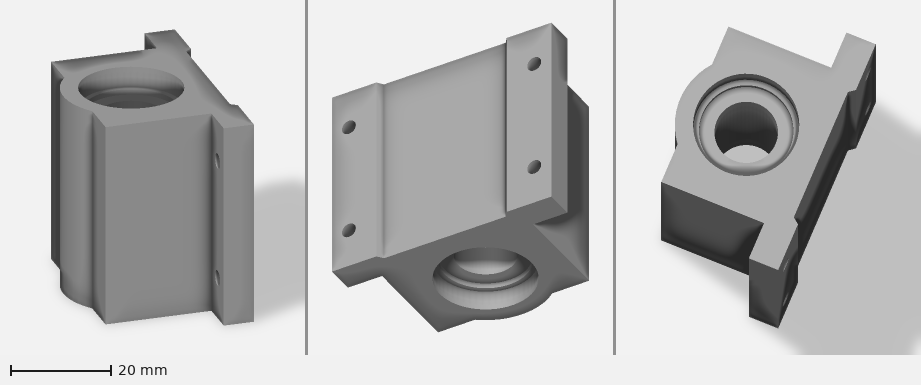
import cadquery as cq

width = 50.8
depth = 31.75
height = 42.9
body_width = 34.95
flange_thickness = 6.35
boss_radius = 14.3
boss_projection = 3.15
bore_diameter = 21.25

relief_depth = 1.3
relief_floor_width = 28.15
relief_mouth_width = 30.2

mount_hole_diameter = 3.2
mount_hole_spacing_x = 42.9
mount_hole_spacing_z = 25.4

sleeve_bore_diameter = 12.7
sleeve_length = 31.75
ring_inner_diameter = 18.9
ring_thickness = 1.15

front_y = -boss_radius
back_y = front_y + depth
body_front_y = front_y + boss_projection
flange_front_y = back_y - flange_thickness


def box_between(x_size, y_min, y_max):
    """Full-height block, centred in X and Z, from y_min to y_max."""
    return (
        cq.Workplane("XY")
        .box(x_size, y_max - y_min, height)
        .translate((0, (y_min + y_max) / 2, 0))
    )


def cylinder(diameter, length):
    """Cylinder on the bore axis, centred in Z."""
    return (
        cq.Workplane("XY", origin=(0, 0, -length / 2))
        .circle(diameter / 2)
        .extrude(length)
    )


def tube(outer_diameter, inner_diameter, length):
    return cylinder(outer_diameter, length).cut(cylinder(inner_diameter, length))


def make_relief():
    floor_y = back_y - relief_depth
    return (
        cq.Workplane("XY", origin=(0, 0, -height / 2))
        .polyline([
            (-relief_mouth_width / 2, back_y),
            (-relief_floor_width / 2, floor_y),
            (relief_floor_width / 2, floor_y),
            (relief_mouth_width / 2, back_y),
        ])
        .close()
        .extrude(height)
    )


def make_mount_holes():
    return (
        cq.Workplane("XZ", origin=(0, back_y, 0))
        .rarray(mount_hole_spacing_x, mount_hole_spacing_z, 2, 2)
        .circle(mount_hole_diameter / 2)
        .extrude(flange_thickness)
    )


def make_housing():
    flange = box_between(width, flange_front_y, back_y)
    body = box_between(body_width, body_front_y, back_y)
    boss = cylinder(2 * boss_radius, height)
    solid = flange.union(body).union(boss)
    solid = solid.cut(cylinder(bore_diameter, height))
    return solid.cut(make_relief()).cut(make_mount_holes())


def make_sleeve():
    return tube(bore_diameter, sleeve_bore_diameter, sleeve_length)


def make_retaining_ring(end):
    """Ring against the sleeve's upper (end = 1) or lower (end = -1) face."""
    centre_z = end * (sleeve_length + ring_thickness) / 2
    return tube(bore_diameter, ring_inner_diameter, ring_thickness).translate((0, 0, centre_z))


housing = make_housing()
sleeve = make_sleeve()
retaining_rings = [make_retaining_ring(end) for end in (-1, 1)]

result = cq.Compound.makeCompound([
    housing.val(),
    sleeve.val(),
    *[ring.val() for ring in retaining_rings],
])